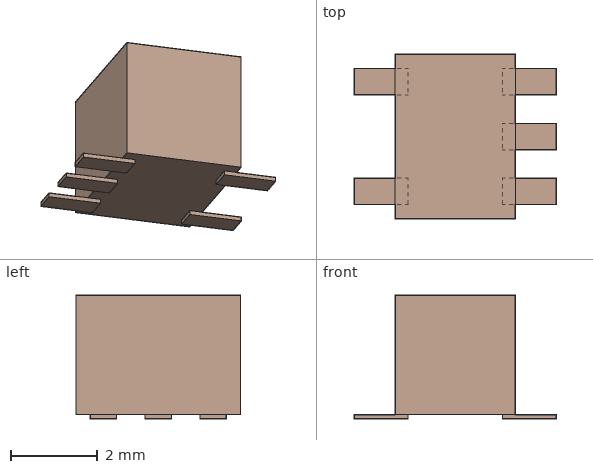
import cadquery as cq

overall_length = 4.68
overall_height = 2.86

lead_length = 1.25
lead_width = 0.615
lead_thickness = 0.1
lead_pitch = 1.27

housing_length = 2.78
housing_width = 3.81
housing_height = overall_height - lead_thickness

LEFT = -1
RIGHT = 1
lead_positions = [
    (LEFT, -1),
    (LEFT, 1),
    (RIGHT, -1),
    (RIGHT, 0),
    (RIGHT, 1),
]


def make_housing():
    """Block centred in X and Y, with its underside on top of the leads."""
    return (
        cq.Workplane("XY")
        .box(housing_length, housing_width, housing_height, centered=(True, True, False))
        .translate((0, 0, lead_thickness))
    )


def make_lead(side, row):
    """Flat lead standing on Z = 0, with its outer end at the overall length."""
    center_x = side * (overall_length - lead_length) / 2
    return (
        cq.Workplane("XY")
        .box(lead_length, lead_width, lead_thickness, centered=(True, True, False))
        .translate((center_x, row * lead_pitch, 0))
    )


housing = make_housing()
leads = [make_lead(side, row).val() for side, row in lead_positions]

result = cq.Compound.makeCompound([housing.val(), *leads])